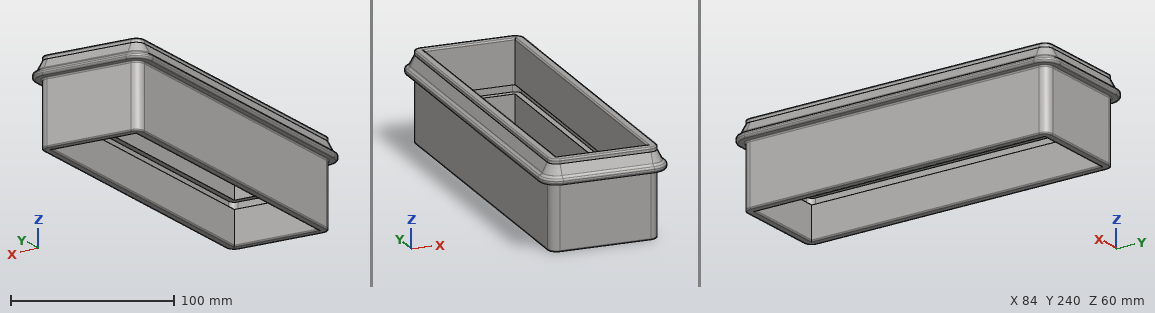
import cadquery as cq

opening_x = 60.0
opening_y = 216.0
height = 60.0
wall = 6.0
edge_round = 1.0
body_x = opening_x + 2 * wall
body_y = opening_y + 2 * wall

rim_reach = 6.0
rim_bottom = 45.0
nose_round = 1.5
nose_top = 47.8
shelf_reach = 5.0
shelf_z = 49.2
slope_foot_reach = 3.4
slope_foot_z = 50.6
slope_top = 57.0

groove_bottom = 24.0
groove_height = 6.0
groove_depth = 4.0


def rounded_block(size_x, size_y, bottom, block_height, corner_radius):
    """Block standing at the given height with its four vertical corners rounded."""
    block = cq.Workplane("XY", origin=(0, 0, bottom)).rect(size_x, size_y).extrude(block_height)
    return block.edges("|Z").fillet(corner_radius)


def make_sleeve():
    """Straight tube with round outer corners, sharp inner corners and eased end edges."""
    sleeve = rounded_block(body_x, body_y, 0, height, wall)
    sleeve = sleeve.cut(cq.Workplane("XY").rect(opening_x, opening_y).extrude(height))
    return sleeve.faces("<Z or >Z").edges().fillet(edge_round)


def make_rim():
    """Rim section carried around the outer outline of the sleeve."""
    root = -wall / 2
    path = rounded_block(body_x, body_y, 0, height, wall).faces("<Z").wires()
    section_plane = cq.Plane(origin=(body_x / 2, 0, 0), xDir=(1, 0, 0), normal=(0, -1, 0))
    section = (
        cq.Workplane(section_plane)
        .moveTo(root, rim_bottom - edge_round)
        .lineTo(0, rim_bottom - edge_round)
        .radiusArc((edge_round, rim_bottom), edge_round)
        .lineTo(rim_reach - nose_round, rim_bottom)
        .tangentArcPoint((rim_reach, rim_bottom + nose_round), relative=False)
        .lineTo(rim_reach, nose_top)
        .tangentArcPoint((shelf_reach, shelf_z), relative=False)
        .tangentArcPoint((slope_foot_reach, slope_foot_z), relative=False)
        .lineTo(0, slope_top)
        .lineTo(root, slope_top)
        .close()
    )
    return section.sweep(path)


def make_groove():
    return rounded_block(
        opening_x + 2 * groove_depth,
        opening_y + 2 * groove_depth,
        groove_bottom,
        groove_height,
        groove_depth,
    )


result = make_sleeve().union(make_rim()).cut(make_groove())